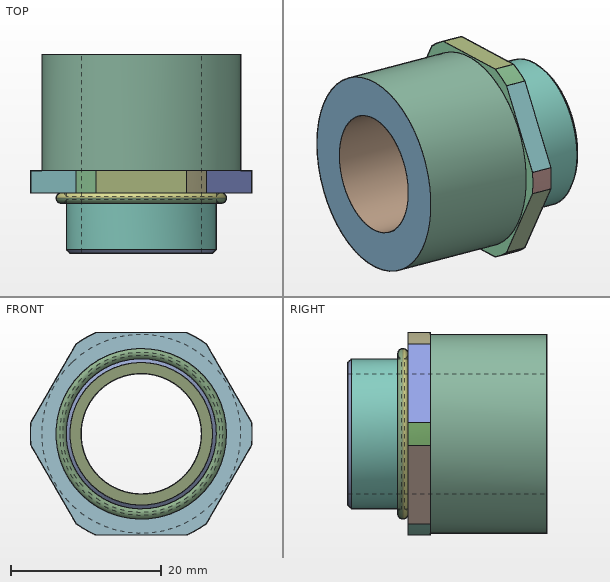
import cadquery as cq
import math

flange_diameter = 29.58
across_flats = 27.0
flange_thickness = 3.0
body_diameter = 26.5
body_length = 15.5
spigot_diameter = 20.0
spigot_length = 8.02
spigot_chamfer = 0.5
bore_diameter = 16.0
seal_thickness = 1.4
seal_embed = 0.03

across_corners = across_flats / math.cos(math.pi / 6)
seal_center_radius = (spigot_diameter + seal_thickness) / 2 - seal_embed


def plane_at(y):
    """Sketch plane at position y whose normal points to -Y."""
    return cq.Workplane("XZ", origin=(0, y, 0))


def make_flange():
    """Hexagon with flats facing up and down and round-trimmed corners."""
    hexagon = plane_at(flange_thickness).polygon(6, across_corners).extrude(flange_thickness)
    trim = plane_at(flange_thickness).circle(flange_diameter / 2).extrude(flange_thickness)
    return hexagon.intersect(trim)


def make_body():
    return plane_at(flange_thickness + body_length).circle(body_diameter / 2).extrude(body_length)


def make_spigot():
    """Cylinder that starts inside the flange and has a chamfered free end."""
    spigot = plane_at(flange_thickness).circle(spigot_diameter / 2)
    spigot = spigot.extrude(flange_thickness + spigot_length)
    return spigot.faces("<Y").chamfer(spigot_chamfer)


def make_seal():
    """Round-section ring resting on the flange and hugging the spigot."""
    section = cq.Workplane("XY").center(seal_center_radius, seal_embed - seal_thickness / 2)
    section = section.circle(seal_thickness / 2)
    return section.revolve(360, (-seal_center_radius, 0, 0), (-seal_center_radius, 1, 0))


def make_bore():
    total_length = body_length + flange_thickness + spigot_length
    return plane_at(flange_thickness + body_length).circle(bore_diameter / 2).extrude(total_length)


outside = make_flange().union(make_body()).union(make_spigot()).union(make_seal())
result = outside.cut(make_bore())